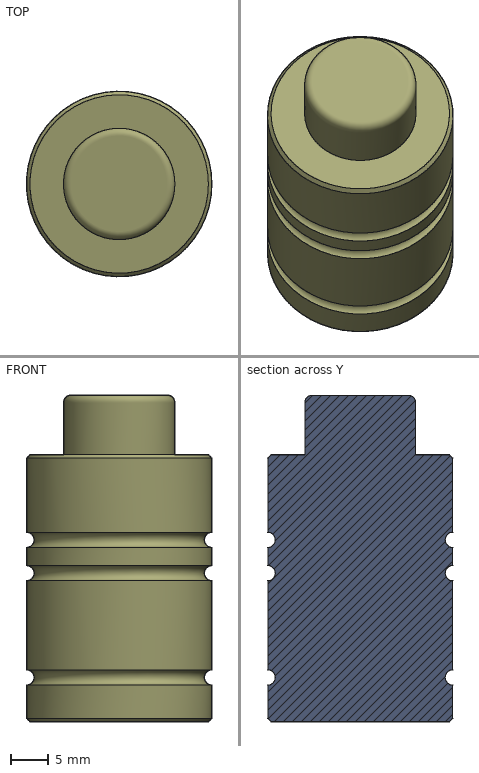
import cadquery as cq

total_height = 44.0
body_diameter = 25.0
body_height = 36.0
body_chamfer = 0.5

pin_diameter = 15.0
pin_height = total_height - body_height
pin_edge_radius = 1.0

groove_radius = 1.0
groove_heights = (6.0, 20.0, 24.5)


def make_body():
    body = cq.Workplane("XY").circle(body_diameter / 2).extrude(body_height)
    return body.faces("<Z or >Z").edges().chamfer(body_chamfer)


def make_pin():
    pin = cq.Workplane("XY").workplane(offset=body_height).circle(pin_diameter / 2).extrude(pin_height)
    return pin.faces(">Z").edges().fillet(pin_edge_radius)


def make_groove_cutter(height):
    """Ring of round section centred on the body surface."""
    return cq.Workplane(cq.Solid.makeTorus(body_diameter / 2, groove_radius, cq.Vector(0, 0, height)))


result = make_body().union(make_pin())
for groove_height in groove_heights:
    result = result.cut(make_groove_cutter(groove_height))